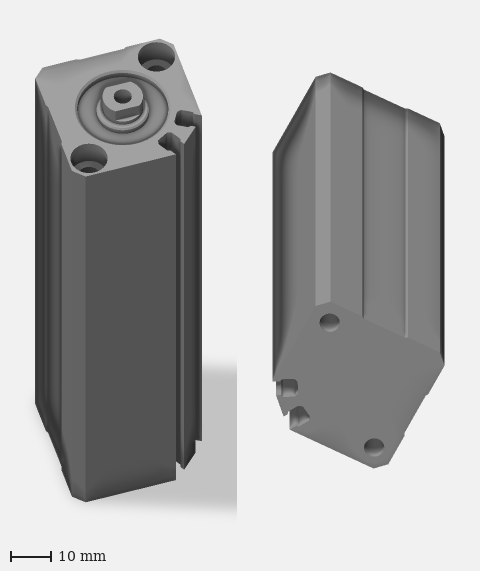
import cadquery as cq

total_height = 136.0
rod_projection = 4.5
housing_height = total_height - rod_projection
housing_width = 36.0
half_width = housing_width / 2
corner_chamfer = 2.7
sensor_corner_chamfer = 9.4

panel_half_width = 6.4
panel_edge_run = 0.61
panel_depth = 0.37

slot_angles = (30.0, 60.0)
slot_floor = 13.5
slot_floor_chamfer = 0.8
slot_shoulder = 17.3
slot_neck = 17.8
slot_outside = half_width * 2 ** 0.5
slot_half_width = 2.5
slot_neck_half_width = 1.9

bolt_offset = 12.8
bolt_hole_diameter = 5.5
thread_bore_diameter = 5.0
thread_bore_length = 10.0
counterbore_diameter = 9.2
counterbore_depth = 7.0

recess_diameter = 22.7
recess_depth = 2.2
recess_chamfer = 0.5
recess_floor = housing_height - recess_depth
collar_diameter = 13.0
collar_height = 1.8
collar_chamfer = 0.4

rod_diameter = 10.0
rod_flat_width = 7.9
rod_flat_length = 3.7
rod_socket_depth = 13.6
rod_bottom = recess_floor - rod_socket_depth
rod_length = total_height - rod_bottom
rod_hole_diameter = 4.5
rod_hole_depth = 7.0


def cylinder(diameter, bottom, height, x=0.0, y=0.0):
    return cq.Workplane("XY", origin=(x, y, bottom)).circle(diameter / 2).extrude(height)


def housing_block():
    """Square bar with three small corner chamfers and a large one at (+X, +Y)."""
    block = cq.Workplane("XY").rect(housing_width, housing_width).extrude(housing_height)
    block = block.edges("|Z and (<X or <Y)").chamfer(corner_chamfer)
    return block.edges("|Z and >(1,1,0)").chamfer(sensor_corner_chamfer)


def face_panel(angle):
    """Cutter for the shallow panel on the -Y face, turned about Z."""
    inner_half_width = panel_half_width - panel_edge_run
    panel = (
        cq.Workplane("XY")
        .polyline([
            (-panel_half_width, -half_width),
            (panel_half_width, -half_width),
            (inner_half_width, -half_width + panel_depth),
            (-inner_half_width, -half_width + panel_depth),
        ])
        .close()
        .extrude(housing_height)
    )
    return panel.rotate((0, 0, 0), (0, 0, 1), angle)


def sensor_slot(angle):
    """Cutter for an undercut slot with a narrower neck, pointing along the given angle."""
    upper_side = [
        (slot_floor, slot_half_width - slot_floor_chamfer),
        (slot_floor + slot_floor_chamfer, slot_half_width),
        (slot_shoulder, slot_half_width),
        (slot_neck, slot_neck_half_width),
        (slot_outside, slot_neck_half_width),
    ]
    lower_side = [(along, -across) for along, across in reversed(upper_side)]
    slot = cq.Workplane("XY").polyline(upper_side + lower_side).close().extrude(housing_height)
    return slot.rotate((0, 0, 0), (0, 0, 1), angle)


def bolt_hole(x, y):
    """Cutter for a through hole, counterbored at the top and narrower near the bottom."""
    counterbore_floor = housing_height - counterbore_depth
    thread_bore = cylinder(thread_bore_diameter, 0, thread_bore_length, x, y)
    clearance_length = counterbore_floor - thread_bore_length
    clearance_bore = cylinder(bolt_hole_diameter, thread_bore_length, clearance_length, x, y)
    counterbore = cylinder(counterbore_diameter, counterbore_floor, counterbore_depth, x, y)
    return thread_bore.union(clearance_bore).union(counterbore)


def front_recess():
    """Cutter for the chamfered round recess, with the collar left standing."""
    recess = cylinder(recess_diameter, recess_floor, recess_depth)
    rim = cq.Workplane(
        cq.Solid.makeCone(
            recess_diameter / 2,
            recess_diameter / 2 + recess_chamfer,
            recess_chamfer,
            pnt=cq.Vector(0, 0, housing_height - recess_chamfer),
        )
    )
    collar = cylinder(collar_diameter, recess_floor, collar_height)
    collar = collar.faces(">Z").edges().chamfer(collar_chamfer)
    return recess.union(rim).cut(collar)


def make_housing():
    """Cylinder body with every cutter applied, including the socket for the rod."""
    housing = housing_block()
    for angle in (0, -90):
        housing = housing.cut(face_panel(angle))
    for angle in slot_angles:
        housing = housing.cut(sensor_slot(angle))
    for side in (-1, 1):
        housing = housing.cut(bolt_hole(side * bolt_offset, -side * bolt_offset))
    housing = housing.cut(front_recess())
    return housing.cut(cylinder(rod_diameter, rod_bottom, rod_length))


def make_rod():
    """Piston rod with two wrench flats and a blind hole in its end."""
    rod = cylinder(rod_diameter, rod_bottom, rod_length)
    flat_bottom = total_height - rod_flat_length
    slab = cq.Workplane("XY", origin=(0, 0, flat_bottom)).rect(rod_flat_width, rod_diameter)
    outside_flats = cylinder(rod_diameter, flat_bottom, rod_flat_length).cut(slab.extrude(rod_flat_length))
    rod_hole = cylinder(rod_hole_diameter, total_height - rod_hole_depth, rod_hole_depth)
    return rod.cut(outside_flats).cut(rod_hole)


housing = make_housing()
rod = make_rod()
result = cq.Compound.makeCompound([housing.val(), rod.val()])